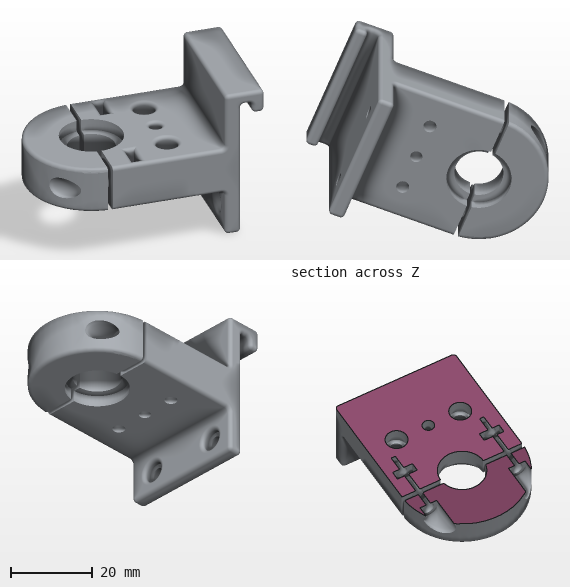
import cadquery as cq
import math

WIDTH = 34.0
ARM_HEIGHT = 12.0
EDGE_RADIUS = 1.0

PLATE_FRONT = 29.0
PLATE_THICKNESS = 4.0
PLATE_BOTTOM = -12.0
PLATE_TOP = 27.0
HOOK_GAP = 3.0
HOOK_THICKNESS = 3.0
HOOK_DROP = 6.0

CLAMP_GAP = 1.2
CAP_FRONT = -17.06

BORE_DIAMETER = 12.0
COLLAR_DIAMETER = 16.0
COLLAR_DEPTH = 3.0

SCREW_DIAMETER = 3.2
HEAD_DIAMETER = 5.5
SEAT_THICKNESS = 4.0
CLAMP_SCREW_X = 12.5
CLAMP_SCREW_REACH = 12.0
ARM_HOLE_X = 9.0
ARM_HOLE_Y = 16.5
CENTRE_HOLE_DIAMETER = 3.0
PLATE_HOLE_X = 10.0
PLATE_HOLE_Z = -6.0
PLATE_HEAD_DEPTH = 2.0

NUT_WIDTH = 5.5
NUT_THICKNESS = 2.25
NUT_X = 12.25
NUT_Y = 6.75

DOWN = (0, 0, -1)
BACKWARD = (0, 1, 0)
FORWARD = (0, -1, 0)

half_width = WIDTH / 2
mid_height = ARM_HEIGHT / 2
plate_back = PLATE_FRONT + PLATE_THICKNESS
hook_front = plate_back + HOOK_GAP
hook_back = hook_front + HOOK_THICKNESS
hook_tip = PLATE_TOP - HOOK_DROP
hook_roof = PLATE_TOP - HOOK_THICKNESS
nut_floor = mid_height - NUT_WIDTH / 2


def bore_cutter():
    """Through bore with a wider collar recess at the top and at the bottom."""
    bore = cq.Workplane("XY").circle(BORE_DIAMETER / 2).extrude(ARM_HEIGHT)
    for base in (0, ARM_HEIGHT - COLLAR_DEPTH):
        recess = cq.Workplane("XY", origin=(0, 0, base)).circle(COLLAR_DIAMETER / 2)
        bore = bore.union(recess.extrude(COLLAR_DEPTH))
    return bore


def straight_hole(diameter, mouth, direction, depth):
    """Round cutter from the mouth of a hole along its direction."""
    return cq.Workplane(
        cq.Solid.makeCylinder(diameter / 2, depth, cq.Vector(*mouth), cq.Vector(*direction))
    )


def rounded_hole(diameter, mouth, direction, depth):
    """Round cutter whose mouth flares out tangentially to round the rim of the hole."""
    radius = diameter / 2
    arc_offset = EDGE_RADIUS * (1 - math.sqrt(0.5))
    half_section = (
        cq.Workplane("XZ")
        .lineTo(radius + EDGE_RADIUS, 0)
        .threePointArc((radius + arc_offset, -arc_offset), (radius, -EDGE_RADIUS))
        .lineTo(radius, -depth)
        .lineTo(0, -depth)
        .close()
    )
    plug = half_section.revolve(360, (0, 0, 0), (0, 1, 0)).val()
    outward = cq.Vector(*direction) * -1
    mouth_plane = cq.Plane(origin=mouth, xDir=(1, 0, 0), normal=outward)
    return cq.Workplane(plug.moved(cq.Location(mouth_plane)))


def bracket_body():
    """Hook, plate and arm as one side profile, with every outer edge rounded except the arm end."""
    profile = [
        (0, 0),
        (PLATE_FRONT, 0),
        (PLATE_FRONT, PLATE_BOTTOM),
        (plate_back, PLATE_BOTTOM),
        (plate_back, hook_roof),
        (hook_front, hook_roof),
        (hook_front, hook_tip),
        (hook_back, hook_tip),
        (hook_back, PLATE_TOP),
        (PLATE_FRONT, PLATE_TOP),
        (PLATE_FRONT, ARM_HEIGHT),
        (0, ARM_HEIGHT),
    ]
    inner_corners = [
        (PLATE_FRONT, 0),
        (PLATE_FRONT, ARM_HEIGHT),
        (plate_back, hook_roof),
        (hook_front, hook_roof),
    ]
    body = cq.Workplane("YZ").polyline(profile).close().extrude(half_width, both=True)
    for y, z in inner_corners:
        body = body.edges(cq.selectors.NearestToPointSelector((0, y, z))).fillet(EDGE_RADIUS)
    outer_corners = [point for point in profile if point not in inner_corners and point[0] > 0]
    rounded = body.faces("<X or >X").edges().edges("not(<Y)")
    for y, z in outer_corners:
        rounded = rounded.add(body.edges(cq.selectors.NearestToPointSelector((0, y, z))))
    return body.newObject(rounded.vals()).fillet(EDGE_RADIUS)


def nut_pocket_cutter(side):
    """Blind slot that drops a nut onto the clamp screw, with a rounded mouth."""
    depth = ARM_HEIGHT - nut_floor
    base = cq.Workplane("XY", origin=(side * NUT_X, NUT_Y, nut_floor))
    block = base.rect(2 * NUT_WIDTH, 3 * NUT_THICKNESS).extrude(depth)
    slot = base.rect(NUT_WIDTH, NUT_THICKNESS).extrude(depth)
    surround = block.cut(slot).faces(">Z").wires(cq.selectors.LengthNthSelector(0)).fillet(EDGE_RADIUS)
    return block.cut(surround)


def screw_and_head(mouth, direction, thickness, head_depth):
    """Through hole for a screw with a round-rimmed counterbore for its head."""
    shank = straight_hole(SCREW_DIAMETER, mouth, direction, thickness)
    return shank.union(rounded_hole(HEAD_DIAMETER, mouth, direction, head_depth))


def make_bracket():
    """Hanging bracket with the bore half, nut pockets and all its screw holes."""
    body = bracket_body().cut(bore_cutter())
    centre_mouth = (0, ARM_HOLE_Y, ARM_HEIGHT)
    body = body.cut(rounded_hole(CENTRE_HOLE_DIAMETER, centre_mouth, DOWN, ARM_HEIGHT))
    for side in (-1, 1):
        clamp_mouth = (side * CLAMP_SCREW_X, 0, mid_height)
        arm_mouth = (side * ARM_HOLE_X, ARM_HOLE_Y, ARM_HEIGHT)
        plate_mouth = (side * PLATE_HOLE_X, PLATE_FRONT, PLATE_HOLE_Z)
        body = body.cut(nut_pocket_cutter(side))
        body = body.cut(straight_hole(SCREW_DIAMETER, clamp_mouth, BACKWARD, CLAMP_SCREW_REACH))
        body = body.cut(screw_and_head(arm_mouth, DOWN, ARM_HEIGHT, ARM_HEIGHT - SEAT_THICKNESS))
        body = body.cut(screw_and_head(plate_mouth, BACKWARD, PLATE_THICKNESS, PLATE_HEAD_DEPTH))
    return body


def make_cap():
    """Round-nosed clamp half with two counterbored screw holes."""
    split = -CLAMP_GAP
    nose = (
        cq.Workplane("XY")
        .moveTo(-half_width, split)
        .threePointArc((0, CAP_FRONT), (half_width, split))
        .close()
        .extrude(ARM_HEIGHT)
    )
    cap = nose.edges("%CIRCLE").fillet(EDGE_RADIUS).cut(bore_cutter())
    for side in (-1, 1):
        x = side * CLAMP_SCREW_X
        seat = (x, split - SEAT_THICKNESS, mid_height)
        cap = cap.cut(straight_hole(SCREW_DIAMETER, (x, split, mid_height), FORWARD, -CAP_FRONT))
        cap = cap.cut(straight_hole(HEAD_DIAMETER, seat, FORWARD, -CAP_FRONT))
    return cap


bracket = make_bracket()
cap = make_cap()
result = cq.Compound.makeCompound([bracket.val(), cap.val()])